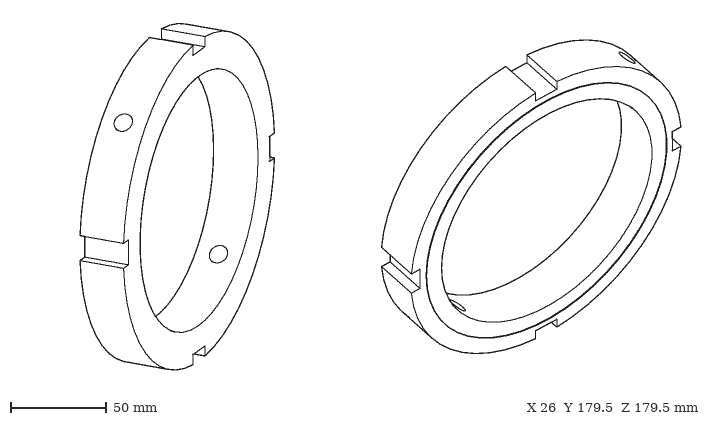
import cadquery as cq

outer_diameter = 180.0
bore_diameter = 140.0
face_diameter = 160.0
total_width = 26.0
face_height = 0.5
body_width = total_width - face_height

slot_count = 4
slot_width = 14.0
slot_floor_radius = 84.0

hole_diameter = 10.11
hole_angles = (135.0, 315.0)
hole_x = total_width / 2

outer_radius = outer_diameter / 2


def make_ring():
    """Ring body with the raised face, starting at X = 0."""
    face = cq.Workplane("YZ").circle(face_diameter / 2).extrude(total_width)
    body = cq.Workplane("YZ", origin=(face_height, 0, 0)).circle(outer_radius).extrude(body_width)
    bore = cq.Workplane("YZ").circle(bore_diameter / 2).extrude(total_width)
    return body.union(face).cut(bore)


def make_slot(angle):
    """Rectangular spanner slot across the full width of the rim."""
    slot = cq.Workplane("XY").box(
        total_width, outer_radius, slot_width, centered=(False, False, True)
    )
    return slot.translate((0, slot_floor_radius, 0)).rotate((0, 0, 0), (1, 0, 0), angle)


def make_radial_hole(angle):
    """Radial hole from the axis out through the rim."""
    hole = cq.Workplane("XZ", origin=(hole_x, 0, 0)).circle(hole_diameter / 2).extrude(-outer_diameter)
    return hole.rotate((0, 0, 0), (1, 0, 0), angle)


result = make_ring()
for index in range(slot_count):
    result = result.cut(make_slot(index * 360.0 / slot_count))
for hole_angle in hole_angles:
    result = result.cut(make_radial_hole(hole_angle))